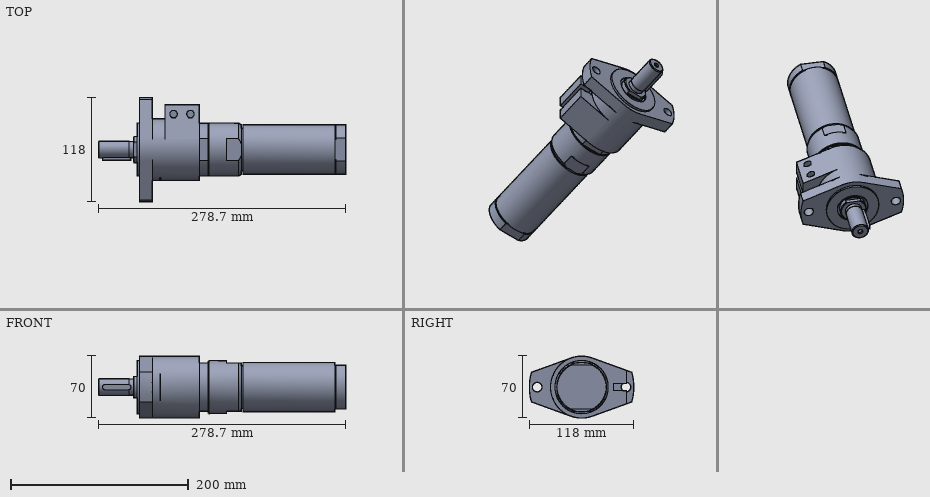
import cadquery as cq
import math


SEAT_START = 34.8
COLLAR_START = 39.5
PILOT_START = 43.8
FLANGE_START = 46.3
FLANGE_END = 60.8
HOUSING_SPLIT = 74.8
HOUSING_END = 113.7
RING_START = 123.7
RING_END = 144.4
NOSE_START = 157.8
NECK_START = 161.1
BARREL_START = 162.6
REAR_CAP_START = 266.3
TOTAL_LENGTH = 278.7

SHAFT_DIA = 19
SHAFT_CHAMFER = 1
SEAT_DIA = 18.5
CENTRE_MOUTH_DIA = 5.8
CENTRE_BORE_DIA = 4.13
CENTRE_BORE_DEPTH = 12
CENTRE_COUNTERSINK_ANGLE = 60
DRILL_POINT_ANGLE = 118
KEY_WIDTH = 6
KEY_LENGTH = 32
KEY_START = 4.7
KEY_TOP = 12

COLLAR_DIA = 29.6
COLLAR_FLATS = 24.4
COLLAR_CHAMFER = 0.9
RECESS_DIA = 35
RECESS_DEPTH = 2
PILOT_DIA = 60

FLANGE_SPAN = 118
FLANGE_END_HEIGHT = 33.5
BOLT_SPACING = 100
BOLT_HOLE_DIA = 10.5

HOUSING_DIA = 70
BLOCK_REACH = 50.7
SLOT_HEIGHT = 7.8
PORT_DIA = 8.38
PORT_Y = 40
SLOT_BOTTOM = PORT_Y - PORT_DIA / 2
PORT_SPACING = 19
PORT_MARGIN = 9.9
TAB_GAP_START = 69.2
TAB_GAP_WIDTH = 1
TAB_GAP_DEPTH = 3.5
TAB_HEIGHT = 29.6

RING_DIA = 60
RING_FLATS = 54.6
GROOVE_WIDTH = 1
RING_GROOVE_DIA = 58
NOSE_DIA = 56
NECK_DIA = 48.18
BARREL_DIA = 56
CAP_FLATS = 49.6
CAP_GROOVE_DIA = 54.5


def cylinder(start, end, diameter):
    """Solid cylinder on the X axis between two stations."""
    return cq.Workplane("YZ", origin=(start, 0, 0)).circle(diameter / 2).extrude(end - start)


def cone(start, end, start_diameter, end_diameter):
    """Solid truncated cone on the X axis between two stations."""
    solid = cq.Solid.makeCone(
        start_diameter / 2,
        end_diameter / 2,
        end - start,
        pnt=cq.Vector(start, 0, 0),
        dir=cq.Vector(1, 0, 0),
    )
    return cq.Workplane(solid)


def cone_length(large_diameter, small_diameter, included_angle):
    """Axial length of a cone between two diameters."""
    half_angle = math.radians(included_angle / 2)
    return (large_diameter - small_diameter) / 2 / math.tan(half_angle)


def box(x_range, y_range, z_range):
    """Box spanning the given (low, high) ranges."""
    sizes = [high - low for low, high in (x_range, y_range, z_range)]
    corner = (x_range[0], y_range[0], z_range[0])
    return cq.Workplane("XY", origin=corner).box(*sizes, centered=False)


def flatten(body, start, end, across):
    """Trim a body between two stations to a height `across`, leaving two flats."""
    width = 2 * HOUSING_DIA
    slab = box((start, end), (-width / 2, width / 2), (-across / 2, across / 2))
    return body.intersect(slab)


def flange_profile(start, thickness):
    """Rounded diamond: a central circle, straight tangents and arced ends."""
    end_radius = FLANGE_SPAN / 2
    hub_radius = HOUSING_DIA / 2
    corner_z = FLANGE_END_HEIGHT / 2
    corner_y = math.sqrt(end_radius**2 - corner_z**2)
    tangent_angle = math.atan2(corner_z, corner_y) + math.acos(hub_radius / end_radius)
    tangent_y = hub_radius * math.cos(tangent_angle)
    tangent_z = hub_radius * math.sin(tangent_angle)
    return (
        cq.Workplane("YZ", origin=(start, 0, 0))
        .moveTo(corner_y, -corner_z)
        .threePointArc((end_radius, 0), (corner_y, corner_z))
        .lineTo(tangent_y, tangent_z)
        .threePointArc((0, hub_radius), (-tangent_y, tangent_z))
        .lineTo(-corner_y, corner_z)
        .threePointArc((-end_radius, 0), (-corner_y, -corner_z))
        .lineTo(-tangent_y, -tangent_z)
        .threePointArc((0, -hub_radius), (tangent_y, -tangent_z))
        .close()
        .extrude(thickness)
    )


def make_shaft():
    """Output shaft with a reduced seat, a parallel key and a centre hole."""
    shaft = cylinder(0, SEAT_START, SHAFT_DIA).faces("<X").chamfer(SHAFT_CHAMFER)
    shaft = shaft.union(cylinder(SEAT_START, FLANGE_START, SEAT_DIA))
    key = (
        cq.Workplane("XZ")
        .center(KEY_START + KEY_LENGTH / 2, 0)
        .slot2D(KEY_LENGTH, KEY_WIDTH)
        .extrude(KEY_TOP)
    )
    shaft = shaft.union(key)
    return shaft.cut(make_centre_hole())


def make_centre_hole():
    """Countersunk centre bore with a conical drill point."""
    countersink_end = cone_length(CENTRE_MOUTH_DIA, CENTRE_BORE_DIA, CENTRE_COUNTERSINK_ANGLE)
    point_end = CENTRE_BORE_DEPTH + cone_length(CENTRE_BORE_DIA, 0, DRILL_POINT_ANGLE)
    countersink = cone(0, countersink_end, CENTRE_MOUTH_DIA, CENTRE_BORE_DIA)
    bore = cylinder(0, CENTRE_BORE_DEPTH, CENTRE_BORE_DIA)
    point = cone(CENTRE_BORE_DEPTH, point_end, CENTRE_BORE_DIA, 0)
    return countersink.union(bore).union(point)


def make_collar():
    """Chamfered collar with two flats on a round base in the pilot recess."""
    collar = cylinder(COLLAR_START, PILOT_START, COLLAR_DIA).faces("<X").chamfer(COLLAR_CHAMFER)
    collar = flatten(collar, COLLAR_START, PILOT_START, COLLAR_FLATS)
    return collar.union(cylinder(PILOT_START, PILOT_START + RECESS_DEPTH, COLLAR_DIA))


def make_flange():
    """Mounting flange with a pilot, a seal recess and two bolt holes."""
    flange = flange_profile(FLANGE_START, FLANGE_END - FLANGE_START)
    flange = flange.union(cylinder(PILOT_START, FLANGE_START, PILOT_DIA))
    flange = flange.cut(cylinder(PILOT_START, PILOT_START + RECESS_DEPTH, RECESS_DIA))
    holes = (
        cq.Workplane("YZ", origin=(FLANGE_START, 0, 0))
        .pushPoints([(-BOLT_SPACING / 2, 0), (BOLT_SPACING / 2, 0)])
        .circle(BOLT_HOLE_DIA / 2)
        .extrude(FLANGE_END - FLANGE_START)
    )
    return flange.cut(holes)


def make_port_block():
    """Block on the +Y side, in the flange outline, with two ports that open into a slot."""
    x_range = (HOUSING_SPLIT, HOUSING_END)
    half_height = HOUSING_DIA / 2
    envelope = box(x_range, (0, BLOCK_REACH), (-half_height, half_height))
    block = flange_profile(HOUSING_SPLIT, HOUSING_END - HOUSING_SPLIT).intersect(envelope)
    slot = box(x_range, (SLOT_BOTTOM, BLOCK_REACH), (-SLOT_HEIGHT / 2, SLOT_HEIGHT / 2))
    first_port_x = HOUSING_SPLIT + PORT_MARGIN
    ports = (
        cq.Workplane("XY")
        .pushPoints([(first_port_x, PORT_Y), (first_port_x + PORT_SPACING, PORT_Y)])
        .circle(PORT_DIA / 2)
        .extrude(half_height)
    )
    return block.cut(slot).cut(ports)


def make_housing():
    """Two housing halves, keyed by a tab on the -Y side, and the port block."""
    housing = cylinder(FLANGE_END, HOUSING_END, HOUSING_DIA)
    gap = box(
        (TAB_GAP_START, TAB_GAP_START + TAB_GAP_WIDTH),
        (-HOUSING_DIA / 2, TAB_GAP_DEPTH - HOUSING_DIA / 2),
        (-TAB_HEIGHT / 2, TAB_HEIGHT / 2),
    )
    return housing.cut(gap).union(make_port_block())


def make_clamping_section():
    """Two flatted sections with a round ring between them and a tapered nose."""
    front = flatten(cylinder(HOUSING_END, RING_START, RING_DIA), HOUSING_END, RING_START, RING_FLATS)
    groove_end = RING_START + GROOVE_WIDTH
    groove = cylinder(RING_START, groove_end, RING_GROOVE_DIA)
    ring = cylinder(groove_end, RING_END, RING_DIA)
    rear = cylinder(RING_END, NOSE_START, RING_DIA)
    rear = rear.union(cone(NOSE_START, NECK_START, RING_DIA, NOSE_DIA))
    rear = flatten(rear, RING_END, NECK_START, RING_FLATS)
    neck = cylinder(NECK_START, BARREL_START, NECK_DIA)
    return front.union(groove).union(ring).union(rear).union(neck)


def make_barrel():
    """Plain barrel, a narrow groove and a flatted rear cap."""
    barrel = cylinder(BARREL_START, REAR_CAP_START, BARREL_DIA)
    cap_start = REAR_CAP_START + GROOVE_WIDTH
    groove = cylinder(REAR_CAP_START, cap_start, CAP_GROOVE_DIA)
    cap = groove.union(cylinder(cap_start, TOTAL_LENGTH, BARREL_DIA))
    return barrel.union(flatten(cap, REAR_CAP_START, TOTAL_LENGTH, CAP_FLATS))


result = (
    make_shaft()
    .union(make_collar())
    .union(make_flange())
    .union(make_housing())
    .union(make_clamping_section())
    .union(make_barrel())
)